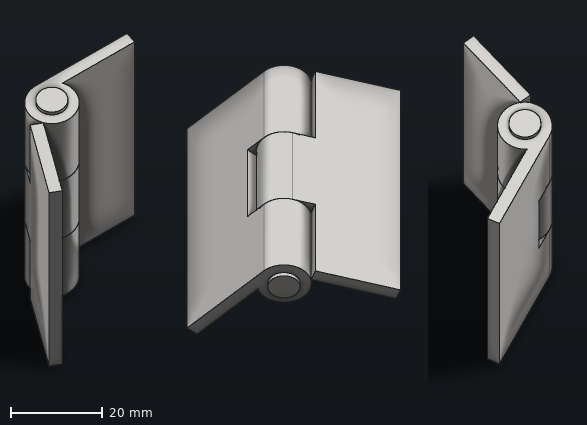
import cadquery as cq

pin_length = 62.0
pin_overhang = 1.0
pin_radius = 3.55
barrel_radius = 6.0
leaf_thickness = 3.0
leaf_reach = 25.0
notch_reach = 5.3
fixed_leaf_angle = 90.0
swung_leaf_angle = -24.4
knuckle_count = 3

leaf_height = pin_length - 2 * pin_overhang
knuckle_height = leaf_height / knuckle_count
leaf_bottom = -leaf_height / 2


def knuckle_bottom(index):
    """Height of the lower face of a knuckle, counted from the bottom."""
    return leaf_bottom + index * knuckle_height


def make_plate(start, bottom, height, side):
    """Flat plate along +X, tangent to the barrel at +Y (side 1) or -Y (side -1)."""
    plate_middle = side * (barrel_radius - leaf_thickness / 2)
    return (
        cq.Workplane("XY")
        .box(leaf_reach - start, leaf_thickness, height, centered=(False, True, False))
        .translate((start, plate_middle, bottom))
    )


def make_leaf(knuckles, side, angle):
    """Leaf with a bored knuckle at each given index, turned about the hinge axis."""
    leaf = make_plate(notch_reach, leaf_bottom, leaf_height, side)
    for index in knuckles:
        bottom = knuckle_bottom(index)
        barrel = (
            cq.Workplane("XY")
            .workplane(offset=bottom)
            .circle(barrel_radius)
            .extrude(knuckle_height)
        )
        leaf = leaf.union(make_plate(0, bottom, knuckle_height, side)).union(barrel)
    bore = cq.Workplane("XY").circle(pin_radius).extrude(leaf_height / 2, both=True)
    return leaf.cut(bore).rotate((0, 0, 0), (0, 0, 1), angle)


def make_pin():
    """Plain round pin running through all knuckles."""
    return cq.Workplane("XY").circle(pin_radius).extrude(pin_length / 2, both=True)


fixed_leaf = make_leaf(knuckles=(0, 2), side=1, angle=fixed_leaf_angle)
swung_leaf = make_leaf(knuckles=(1,), side=-1, angle=swung_leaf_angle)
pin = make_pin()

result = cq.Compound.makeCompound([fixed_leaf.val(), swung_leaf.val(), pin.val()])